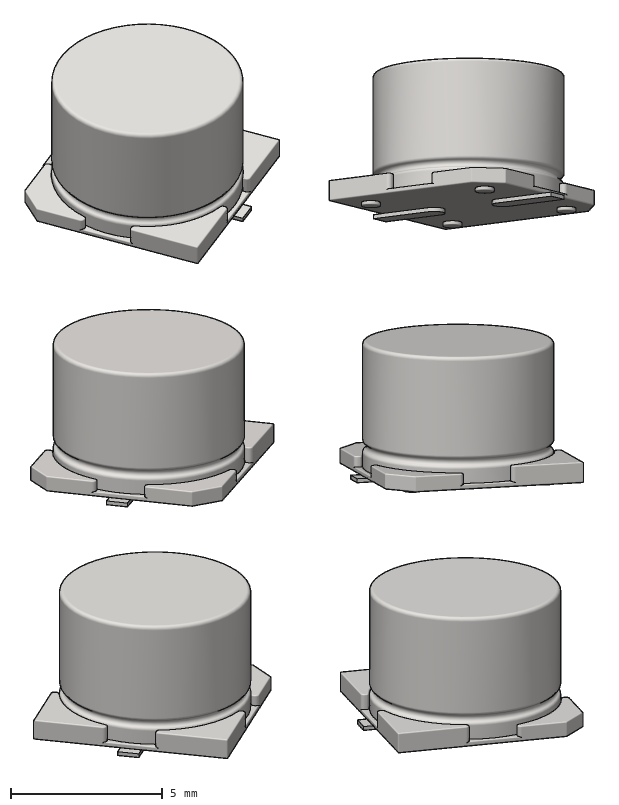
import cadquery as cq
import math

total_length = 7.2
total_height = 4.5
base_width = 6.6
base_half = base_width / 2

standoff = 0.14
floor_level = 0.295
low_block_top = 0.655
tall_block_top = 0.82

can_radius = 6.3 / 2
can_top_round = 0.13
groove_level = 0.99
groove_half_height = 0.22
groove_depth = 0.14
groove_lip_round = 0.115

corner_cut = 0.8
gap_half = 0.83
can_clearance = 0.015
pocket_radius = can_radius + can_clearance
block_outer_round = 0.13
block_inner_round = 0.1
edge_round = 0.04
floor_edge_round = 0.035

foot_diameter = 0.63
foot_offset = 2.305
foot_edge_round = 0.03
lead_width = 0.72
lead_inner_end = 1.04


def base_outline(bottom, height):
    """Square prism with both corners on the -X side cut off and all upright edges rounded."""
    prism = cq.Workplane("XY", origin=(0, 0, bottom)).rect(base_width, base_width).extrude(height)
    return prism.edges("|Z and <X").chamfer(corner_cut).edges("|Z").fillet(edge_round)


def make_plate():
    """Thin plate under the can, with its rim rounded above and below."""
    plate = base_outline(standoff, floor_level - standoff)
    return plate.faces("<Z").edges().fillet(edge_round).faces(">Z").edges().fillet(floor_edge_round)


def make_block(x_side, y_side, top):
    """Corner block that hugs the can, with rounded ends and rounded top edges."""
    block_length = base_half - gap_half
    block_center = gap_half + block_length / 2
    corner = (
        cq.Workplane("XY")
        .center(x_side * block_center, y_side * block_center)
        .rect(block_length, block_length)
        .extrude(total_height)
    )
    bottom = floor_level - floor_edge_round
    pocket = cq.Workplane("XY").circle(pocket_radius).extrude(total_height)
    block = base_outline(bottom, top - bottom).intersect(corner).cut(pocket)

    pocket_reach = math.sqrt(pocket_radius**2 - gap_half**2)
    for reach, radius in ((base_half, block_outer_round), (pocket_reach, block_inner_round)):
        for x, y in ((gap_half, reach), (reach, gap_half)):
            end_point = (x_side * x, y_side * y, (bottom + top) / 2)
            block = block.edges(cq.selectors.NearestToPointSelector(end_point)).fillet(radius)

    return block.faces(">Z").edges().fillet(edge_round)


def make_can():
    """Solid of revolution with a rounded top and a rolled groove near its foot."""
    turn = 2 * math.atan(groove_depth / groove_half_height)

    def lip_point(angle, side):
        radius = can_radius - groove_lip_round * (1 - math.cos(angle))
        level = groove_level + side * (groove_half_height - groove_lip_round * math.sin(angle))
        return radius, level

    profile = (
        cq.Workplane("XZ")
        .moveTo(0, floor_level - floor_edge_round)
        .lineTo(can_radius, floor_level - floor_edge_round)
        .lineTo(*lip_point(0, -1))
        .threePointArc(lip_point(turn / 2, -1), lip_point(turn, -1))
        .threePointArc((can_radius - groove_depth, groove_level), lip_point(turn, 1))
        .threePointArc(lip_point(turn / 2, 1), lip_point(0, 1))
        .lineTo(can_radius, total_height)
        .lineTo(0, total_height)
        .close()
    )
    can = profile.revolve(360, (0, 0, 0), (0, 1, 0))
    return can.faces(">Z").edges().fillet(can_top_round)


def make_feet():
    """Four round standoff feet under the plate, rounded at both rims."""
    feet = (
        cq.Workplane("XY")
        .rect(2 * foot_offset, 2 * foot_offset, forConstruction=True)
        .vertices()
        .circle(foot_diameter / 2)
        .extrude(standoff)
    )
    return feet.edges("%CIRCLE").fillet(foot_edge_round)


def make_lead(side):
    """Flat lead with a round inner end, reaching out past the plate."""
    lead_radius = lead_width / 2
    round_center = lead_inner_end + lead_radius
    return (
        cq.Workplane("XY")
        .moveTo(side * total_length / 2, -lead_radius)
        .lineTo(side * round_center, -lead_radius)
        .threePointArc((side * lead_inner_end, 0), (side * round_center, lead_radius))
        .lineTo(side * total_length / 2, lead_radius)
        .close()
        .extrude(standoff)
    )


result = make_plate().union(make_can()).union(make_feet())
for x_side, block_top in ((-1, low_block_top), (1, tall_block_top)):
    for y_side in (-1, 1):
        result = result.union(make_block(x_side, y_side, block_top))
    result = result.union(make_lead(x_side))